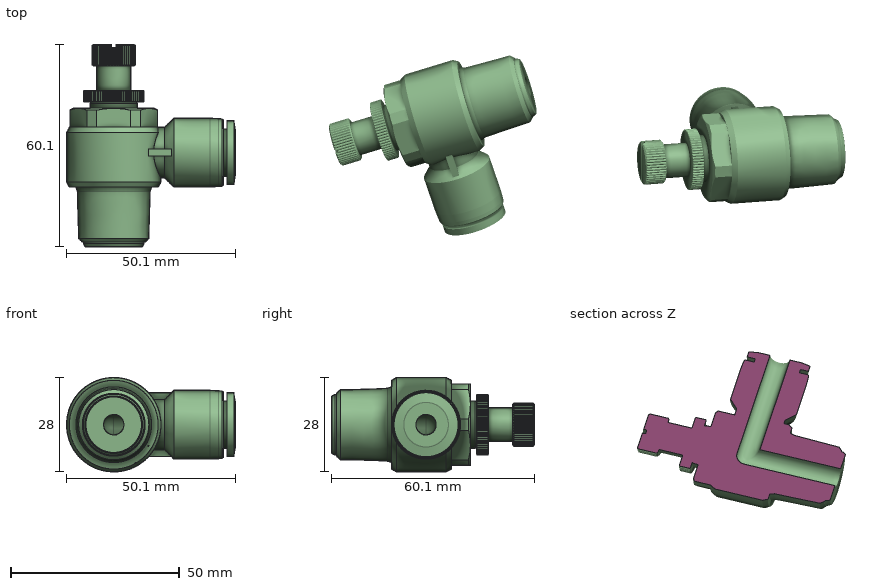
import cadquery as cq
import math


tip_round_y = 0.1
tip_band_y = 1.0
thread_tip_y = 1.45
thread_start_y = 2.6
thread_end_y = 16.5
body_bottom_y = 17.8
body_lower_edge_y = 19.25
body_upper_edge_y = 33.9
body_top_y = 35.5
hex_top_y = 41.15
collar_edge_y = 42.5
nut_bottom_y = 43.0
nut_top_y = 46.45
knob_bottom_y = 53.65
overall_height = 60.1

tip_face_radius = 8.25
tip_round_radius = 8.55
tip_band_radius = 9.0
thread_tip_radius = 9.3
thread_start_radius = 10.4
thread_end_radius = 10.8
thread_shoulder_radius = 11.25
body_radius = 14.0
body_end_radius = 13.15
collar_radius = 7.05
collar_top_radius = 6.8
stem_radius = 5.05

hex_apothem = 12.1
hex_corner_apothem = 13.0
hex_top_radius = 11.95
hex_bevel_height = 0.6
hex_corner_radius = 13.1

nut_radius = 9.0
nut_bevel_radial = 0.35
nut_bevel_axial = 0.2
knob_radius = 6.5
knob_bevel_radial = 0.55
knob_bevel_axial = 0.4
nut_teeth = 66
knob_teeth = 48
knurl_crest_share = 1 / 3
knob_slot_width = 1.2
knob_slot_depth = 0.95

neck_radius = 7.5
branch_axis_y = body_top_y - neck_radius
neck_end_x = 15.1
barrel_start_x = 17.85
barrel_radius = 10.2
taper_start_x = 28.5
taper_mid_x = 31.0
taper_mid_radius = 10.1
taper_end_x = 32.15
taper_end_radius = 10.0
barrel_end_x = 32.5
barrel_end_radius = 9.7
flange_start_x = 33.55
flange_edge_x = 35.6
branch_end_x = 36.05
flange_radius = 9.5
flange_end_radius = 6.6

rib_width = 2.0
rib_end_x = 17.25

passage_radius = 3.0


def revolve_about_y(points):
    """Solid of revolution about Y from (radius, y) points, closed along the axis."""
    closed = [(0, points[0][1])] + points + [(0, points[-1][1])]
    return cq.Workplane("XY").polyline(closed).close().revolve(360, (0, 0), (0, 1))


def prism_along_y(sketch_points, bottom_y, top_y):
    """Prism with an (x, z) outline between two Y stations."""
    outline = [(x, -z) for x, z in sketch_points]
    plane = cq.Plane(origin=(0, bottom_y, 0), xDir=(1, 0, 0), normal=(0, 1, 0))
    return cq.Workplane(plane).polyline(outline).close().extrude(top_y - bottom_y)


def hexagon_points(apothem, first_corner_angle):
    corner = apothem / math.cos(math.pi / 6)
    angles = [math.radians(first_corner_angle + 60 * i) for i in range(6)]
    return [(corner * math.cos(a), corner * math.sin(a)) for a in angles]


def make_body():
    return revolve_about_y([
        (tip_face_radius, 0),
        (tip_round_radius, tip_round_y),
        (tip_band_radius, tip_band_y),
        (tip_band_radius, thread_tip_y),
        (thread_tip_radius, thread_tip_y),
        (thread_start_radius, thread_start_y),
        (thread_end_radius, thread_end_y),
        (thread_shoulder_radius, body_bottom_y),
        (body_end_radius, body_bottom_y),
        (body_radius, body_lower_edge_y),
        (body_radius, body_upper_edge_y),
        (body_end_radius, body_top_y),
        (collar_radius, body_top_y),
        (collar_radius, collar_edge_y),
        (collar_top_radius, nut_bottom_y),
        (stem_radius, nut_bottom_y),
        (stem_radius, knob_bottom_y),
    ])


def make_hexagon():
    """Hexagon with flats facing +Z and -Z, corners trimmed flat and the top edge bevelled."""
    hexagon = prism_along_y(hexagon_points(hex_apothem, 0), body_top_y, hex_top_y)
    corner_trim = prism_along_y(hexagon_points(hex_corner_apothem, 30), body_top_y, hex_top_y)
    cone_bottom_radius = hex_top_radius + (hex_corner_radius - hex_top_radius) * (
        (hex_top_y - body_top_y) / hex_bevel_height)
    bevel = revolve_about_y([(cone_bottom_radius, body_top_y), (hex_top_radius, hex_top_y)])
    return hexagon.intersect(corner_trim).intersect(bevel)


def make_knurled_disc(radius, teeth, bottom_y, top_y, bevel_radial, bevel_axial):
    """Disc with bevelled ends and flat-topped knurl teeth between right-angled V grooves."""
    pitch_angle = 2 * math.pi / teeth
    crest_angle = knurl_crest_share * pitch_angle
    groove_angle = pitch_angle - crest_angle
    root_radius = radius * (1 - groove_angle / 2)
    outline = []
    for i in range(teeth):
        crest_start = i * pitch_angle
        crest_end = crest_start + crest_angle
        root = crest_end + groove_angle / 2
        for r, angle in ((radius, crest_start), (radius, crest_end), (root_radius, root)):
            outline.append((r * math.cos(angle), r * math.sin(angle)))
    toothed = prism_along_y(outline, bottom_y, top_y)
    envelope = revolve_about_y([
        (radius - bevel_radial, bottom_y),
        (radius, bottom_y + bevel_axial),
        (radius, top_y - bevel_axial),
        (radius - bevel_radial, top_y),
    ])
    return toothed.intersect(envelope)


def make_knob():
    """Knurled adjusting knob with a screwdriver slot along Z."""
    knob = make_knurled_disc(
        knob_radius, knob_teeth, knob_bottom_y, overall_height, knob_bevel_radial, knob_bevel_axial)
    slot = cq.Workplane("XY").box(knob_slot_width, 2 * knob_slot_depth, 2 * knob_radius)
    return knob.cut(slot.translate((0, overall_height, 0)))


def make_branch():
    profile = [
        (0, 0),
        (0, neck_radius),
        (neck_end_x, neck_radius),
        (barrel_start_x, barrel_radius),
        (taper_start_x, barrel_radius),
        (taper_mid_x, taper_mid_radius),
        (taper_end_x, taper_end_radius),
        (barrel_end_x, barrel_end_radius),
        (barrel_end_x, collar_radius),
        (flange_start_x, collar_radius),
        (flange_start_x, flange_radius),
        (flange_edge_x, flange_radius),
        (branch_end_x, flange_end_radius),
        (branch_end_x, 0),
    ]
    branch = cq.Workplane("XY").polyline(profile).close().revolve(360, (0, 0), (1, 0))
    rib = cq.Workplane("XY").box(
        rib_end_x, rib_width, 2 * flange_radius, centered=(False, True, True))
    return branch.union(rib).translate((0, branch_axis_y, 0))


def cut_passage(part):
    """Right-angle flow passage: thread bore with a rounded end, meeting the branch bore."""
    dome_mid = passage_radius * math.sqrt(0.5)
    thread_bore = (
        cq.Workplane("XY")
        .lineTo(passage_radius, 0)
        .lineTo(passage_radius, branch_axis_y)
        .threePointArc((dome_mid, branch_axis_y + dome_mid), (0, branch_axis_y + passage_radius))
        .close()
        .revolve(360, (0, 0), (0, 1))
    )
    branch_bore = (
        cq.Workplane("YZ").center(branch_axis_y, 0).circle(passage_radius).extrude(branch_end_x))
    return part.cut(thread_bore).cut(branch_bore)


lock_nut = make_knurled_disc(
    nut_radius, nut_teeth, nut_bottom_y, nut_top_y, nut_bevel_radial, nut_bevel_axial)

fitting = (
    make_body()
    .union(make_hexagon())
    .union(make_branch())
    .union(lock_nut)
    .union(make_knob())
)

result = cut_passage(fitting)